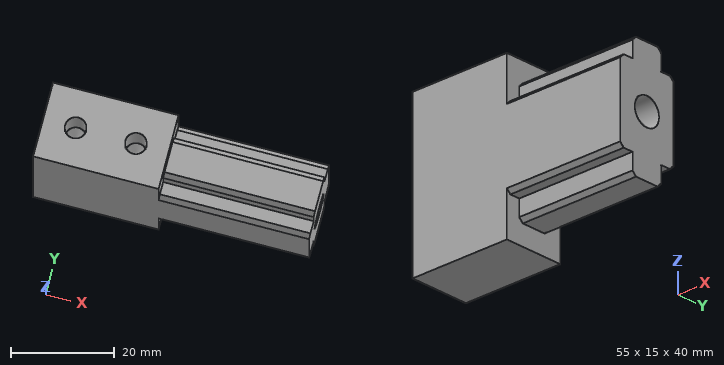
import cadquery as cq
import math

total_length = 55.0
thickness = 15.0
block_height = 40.0
block_length = 25.0

tongue_length = total_length - block_length
rib_height = 30.0
rib_thickness = 8.1
core_height = 20.0
edge_chamfer = 1.0

bore_diameter = 6.8
screw_hole_diameter = 4.2
screw_hole_depth = 10.0
screw_hole_spacing = 12.0
drill_point_angle = 118.0


def chamfered_bar(width, height):
    """Bar along X behind the block, with its four long edges chamfered."""
    return (
        cq.Workplane("YZ", origin=(block_length, 0, 0))
        .rect(width, height)
        .extrude(tongue_length)
        .edges("|X")
        .chamfer(edge_chamfer)
    )


def drilled_hole(x):
    """Blind hole with a conical bottom, drilled down from the top of the block."""
    radius = screw_hole_diameter / 2
    point_depth = radius / math.tan(math.radians(drill_point_angle / 2))
    return (
        cq.Workplane("XZ", origin=(x, 0, block_height / 2))
        .moveTo(0, 0)
        .lineTo(radius, 0)
        .lineTo(radius, -screw_hole_depth)
        .lineTo(0, -screw_hole_depth - point_depth)
        .close()
        .revolve(360, (0, 0), (0, 1))
    )


block = cq.Workplane("YZ").rect(thickness, block_height).extrude(block_length)

core = chamfered_bar(thickness, core_height)
rib = chamfered_bar(rib_thickness, rib_height)
body = block.union(core).union(rib)

bore = cq.Workplane("YZ").circle(bore_diameter / 2).extrude(total_length)
body = body.cut(bore)

for side in (-1, 1):
    body = body.cut(drilled_hole(block_length / 2 + side * screw_hole_spacing / 2))

result = body